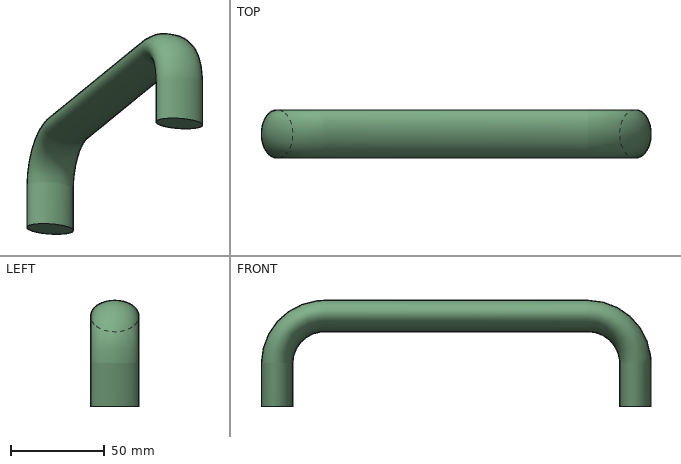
import cadquery as cq

length = 209.0
height = 57.0

bar_width = 26.0
bar_thickness = 17.0

inner_bend_radius = 17.0

bend_radius = inner_bend_radius + bar_thickness / 2
leg_x = (length - bar_thickness) / 2
top_z = height - bar_thickness / 2
leg_height = top_z - bend_radius
grip_end_x = leg_x - bend_radius

centreline = (
    cq.Workplane("XZ")
    .moveTo(-leg_x, 0)
    .lineTo(-leg_x, leg_height)
    .tangentArcPoint((-grip_end_x, top_z), relative=False)
    .lineTo(grip_end_x, top_z)
    .tangentArcPoint((leg_x, leg_height), relative=False)
    .lineTo(leg_x, 0)
)

result = (
    cq.Workplane("XY")
    .center(-leg_x, 0)
    .ellipse(bar_thickness / 2, bar_width / 2)
    .sweep(centreline)
)